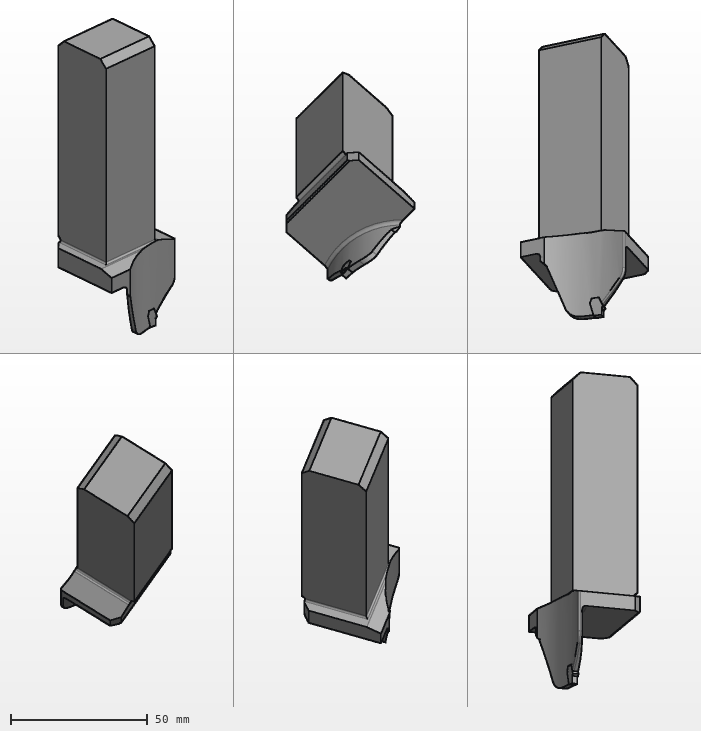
import cadquery as cq
import math


shank_width = 25.0
shank_half = shank_width / 2
shank_top = 91.9
shank_top_chamfer = 3.0
shank_foot_height = 1.8
shank_foot_setback = 1.3
shank_sink = 1.2
shank_root_fillet = 0.7

plate_left = -shank_half + shank_foot_setback
plate_right = 19.6
plate_back = 22.1
plate_front = -16.7
plate_height = 8.0
back_corner_radius = 0.6
corner_chamfer_x = 2.9
corner_chamfer_y = 3.1
top_slope = math.tan(math.radians(17))
slope_margin = 1.5
slope_start = shank_half + slope_margin
under_chamfer_height = 0.8
under_chamfer_width = 0.6

outer_radius = 29.8
outer_center_y = 12.5
blade_left = 10.6
outer_center_x = blade_left + outer_radius
inner_radius = 36.9
inner_center_y = 14.2
inner_left = 12.9
inner_center_x = inner_left + inner_radius
blade_bottom = -26.7
blade_front = -9.0
blade_tip_radius = 5.2
blade_heel_radius = 6.5
blade_root_fillet = 1.4

total_height = 119.0
tip_bottom = shank_top - total_height
tip_y = 12.7
head_top = -24.3
head_relief = 0.2

through = 238.0
slack = 0.1


def upright_cylinder(x, y, radius):
    return cq.Workplane("XY").center(x, y).circle(radius).extrude(through, both=True)


def side_prism(points, x_start, x_end):
    """Extrude a (Y, Z) outline along X."""
    return cq.Workplane("YZ").workplane(offset=x_start).polyline(points).close().extrude(x_end - x_start)


def front_prism(points, y_start, y_end):
    """Extrude an (X, Z) outline along Y."""
    return cq.Workplane("XZ").workplane(offset=-y_end).polyline(points).close().extrude(y_end - y_start)


def make_shank():
    outline = [
        (-shank_half, plate_height - shank_sink),
        (-shank_half, shank_top - shank_top_chamfer),
        (-shank_half + shank_top_chamfer, shank_top),
        (shank_half - shank_top_chamfer, shank_top),
        (shank_half, shank_top - shank_top_chamfer),
        (shank_half, plate_height - shank_sink),
    ]
    return front_prism(outline, -shank_half, shank_half)


def make_plate():
    """Plate with sloped top margins, still flush with the left face of the shank."""
    front_outline = [
        (-shank_half, 0),
        (-shank_half, plate_height),
        (slope_start, plate_height),
        (plate_right, plate_height - (plate_right - slope_start) * top_slope),
        (plate_right, 0),
    ]
    side_outline = [
        (plate_front, 0),
        (plate_front, plate_height),
        (slope_start, plate_height),
        (plate_back, plate_height - (plate_back - slope_start) * top_slope),
        (plate_back, 0),
    ]
    front = front_prism(front_outline, plate_front, plate_back)
    return front.intersect(side_prism(side_outline, -shank_half, plate_right))


def make_left_trim():
    """Waste left of the plate, with a hollow round up to the overhanging shank."""
    return (
        cq.Workplane("XZ")
        .workplane(offset=-plate_back)
        .moveTo(plate_left + under_chamfer_width, 0)
        .lineTo(plate_left, under_chamfer_height)
        .lineTo(plate_left, plate_height)
        .tangentArcPoint((-shank_half, plate_height + shank_foot_height), relative=False)
        .lineTo(-shank_half, 0)
        .close()
        .extrude(plate_back - plate_front)
    )


def make_corner_trims():
    """Waste outside the two bevelled left corners of the plate."""
    trims = cq.Workplane("XY")
    for edge_y, inward in ((plate_front, 1), (plate_back, -1)):
        bevel = [
            (plate_left, edge_y),
            (plate_left + corner_chamfer_x, edge_y),
            (plate_left, edge_y + inward * corner_chamfer_y),
        ]
        trims = trims.add(cq.Workplane("XY").polyline(bevel).close().extrude(plate_height))
    return trims.combine()


def make_blade():
    """Blade outline with a rounded heel and tip, curved on its outer side."""
    heel = (plate_back, -12.1)
    tip = (0.7, blade_bottom)
    outline = [
        (plate_back, 0),
        heel,
        (12.9, -22.5),
        (11.9, blade_bottom),
        tip,
        (-6.5, -5.6),
        (blade_front, -3.1),
        (blade_front, 0),
    ]
    blade = side_prism(outline, 0, plate_right)
    for corner, radius in ((tip, blade_tip_radius), (heel, blade_heel_radius)):
        corner_edge = cq.selectors.NearestToPointSelector((plate_right / 2, *corner))
        blade = blade.edges("|X").edges(corner_edge).fillet(radius)
    return blade.intersect(outer_cylinder)


def make_insert():
    outline = [
        (11.7, -19.6),
        (8.9, -19.6),
        (8.2, -21.5),
        (9.6, -26.8),
        (tip_y, tip_bottom),
        (tip_y, head_top),
        (13.3, -23.6),
        (12.9, -22.5),
    ]
    return side_prism(outline, 0, plate_right).intersect(outer_cylinder).cut(inner_cylinder)


def make_head_relief():
    """Shallow step on the outer flank of the cutting head."""
    outline = [(tip_y, head_top), (10.4, head_top - 0.1), (11.0, tip_bottom), (tip_y, tip_bottom)]
    return side_prism(outline, 0, blade_left + head_relief)


def box_around(low, high):
    """Select what lies between two opposite corners, with a little slack."""
    return cq.selectors.BoxSelector(
        tuple(value - slack for value in low),
        tuple(value + slack for value in high),
    )


def round_shank_root(body):
    """Fillet the shank into the plate on all sides but the left."""
    root = box_around((-shank_half, -shank_half, plate_height), (shank_half, shank_half, plate_height))
    return body.edges(root).edges("|X or (|Y and >X)").fillet(shank_root_fillet)


def round_blade_root(body):
    """Fillet the outer side of the blade into the underside of the plate."""
    root = box_around((blade_left, blade_front, 0), (plate_right - 2 * slack, plate_back - 2 * slack, 0))
    return body.edges(root).fillet(blade_root_fillet)


def round_back_corner(body):
    """Round the upright corner between the hollow right side and the back."""
    corner = box_around((inner_left, plate_back, blade_bottom), (plate_right, plate_back, plate_height))
    return body.edges("|Z").edges(corner).fillet(back_corner_radius)


outer_cylinder = upright_cylinder(outer_center_x, outer_center_y, outer_radius)
inner_cylinder = upright_cylinder(inner_center_x, inner_center_y, inner_radius)
full_insert = make_insert()

holder = round_shank_root(make_plate().union(make_shank()))
holder = holder.cut(make_left_trim()).cut(make_corner_trims())
holder = round_blade_root(holder.union(make_blade()))
holder = holder.cut(inner_cylinder).cut(full_insert)
holder = round_back_corner(holder)

insert = full_insert.cut(make_head_relief())

result = cq.Compound.makeCompound([holder.val(), insert.val()])